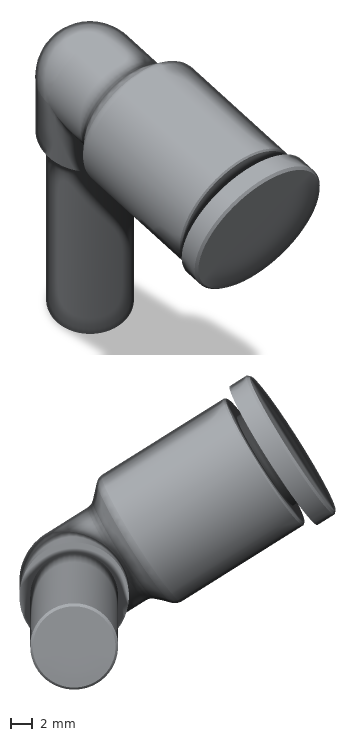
import cadquery as cq

overall_height = 39.6

elbow_radius = 5.0
elbow_drop = 7.75

stem_radius = 4.0
stem_chamfer = 0.25

sleeve_radius = 6.8
sleeve_end_x = 20.65
cone_start_x = 5.05
cone_blend_radius = 1.0
sleeve_chamfer = 0.15

neck_radius = 4.8
flange_start_x = 21.55
flange_end_x = 23.6
flange_width = 15.0
flange_height = 13.05
flange_chamfer = 0.25

stem_end_z = sleeve_radius - overall_height
cone_end_x = cone_start_x + sleeve_radius - elbow_radius


def x_cylinder(radius, start_x, end_x):
    return cq.Workplane("YZ", origin=(start_x, 0, 0)).circle(radius).extrude(end_x - start_x)


def make_elbow():
    corner = cq.Workplane("XY").sphere(elbow_radius)
    collar = cq.Workplane("XY").circle(elbow_radius).extrude(-elbow_drop)
    return corner.union(collar)


def make_stem():
    stem = cq.Workplane("XY").circle(stem_radius).extrude(stem_end_z)
    return stem.faces("<Z").chamfer(stem_chamfer)


def make_sleeve():
    profile = (
        cq.Workplane("XZ")
        .lineTo(0, elbow_radius)
        .lineTo(cone_start_x, elbow_radius)
        .lineTo(cone_end_x, sleeve_radius)
        .lineTo(sleeve_end_x, sleeve_radius)
        .lineTo(sleeve_end_x, 0)
        .close()
    )
    sleeve = profile.revolve(360, (0, 0, 0), (1, 0, 0))
    sleeve = sleeve.faces(">X").chamfer(sleeve_chamfer)
    cone_rims = sleeve.faces("%CONE").faces("<X").edges("%CIRCLE")
    return cone_rims.fillet(cone_blend_radius)


def make_release_button():
    neck = x_cylinder(neck_radius, sleeve_end_x, flange_start_x)
    flange = (
        cq.Workplane("YZ", origin=(flange_start_x, 0, 0))
        .ellipse(flange_width / 2, flange_height / 2)
        .extrude(flange_end_x - flange_start_x)
        .faces(">X")
        .chamfer(flange_chamfer)
    )
    return neck.union(flange)


result = make_elbow().union(make_stem()).union(make_sleeve()).union(make_release_button())